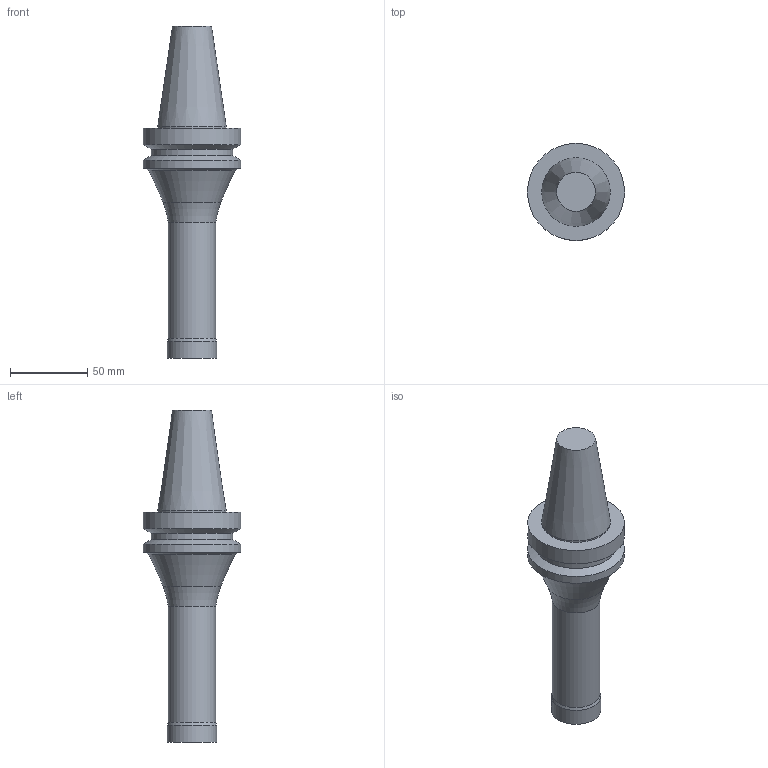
import cadquery as cq
import math

taper_length = 65.4
projection = 150.0
gauge_diameter = 44.45
taper_ratio = 7.0 / 24.0

flange_diameter = 63.0
flange_top_z = -1.0
flange_bottom_z = -27.0

groove_diameter = 53.0
groove_center_z = -16.6
groove_floor_width = 4.3
groove_flank_angle = 30.0

neck_top_diameter = 60.0
neck_shoulder_diameter = 56.4
neck_shoulder_z = -28.2
neck_waist_diameter = 37.4
neck_waist_z = -49.0
neck_bottom_z = -62.0
neck_upper_sag = 0.3
neck_lower_sag = 0.35

shank_diameter = 30.8
collar_diameter = 32.0
collar_length = 11.0
collar_chamfer_length = 1.9

taper_top_radius = (gauge_diameter - taper_ratio * taper_length) / 2
flank_height = (flange_diameter - groove_diameter) / 2 * math.tan(math.radians(groove_flank_angle))
groove_floor_top_z = groove_center_z + groove_floor_width / 2
groove_floor_bottom_z = groove_center_z - groove_floor_width / 2
collar_top_z = collar_length - projection


def hollow_midpoint(start, end, sag):
    """Middle point of an arc from start down to end that bows toward the axis by sag."""
    run_r = end[0] - start[0]
    run_z = end[1] - start[1]
    chord = math.hypot(run_r, run_z)
    middle_r = (start[0] + end[0]) / 2 + sag * run_z / chord
    middle_z = (start[1] + end[1]) / 2 - sag * run_r / chord
    return (middle_r, middle_z)


def add_taper(profile):
    """Tapered cone and the short cylinder between the gauge plane and the flange."""
    return (
        profile.lineTo(taper_top_radius, taper_length)
        .lineTo(gauge_diameter / 2, 0)
        .lineTo(gauge_diameter / 2, flange_top_z)
    )


def add_flange(profile):
    """Gripper flange with its V-flanked groove."""
    return (
        profile.lineTo(flange_diameter / 2, flange_top_z)
        .lineTo(flange_diameter / 2, groove_floor_top_z + flank_height)
        .lineTo(groove_diameter / 2, groove_floor_top_z)
        .lineTo(groove_diameter / 2, groove_floor_bottom_z)
        .lineTo(flange_diameter / 2, groove_floor_bottom_z - flank_height)
        .lineTo(flange_diameter / 2, flange_bottom_z)
    )


def add_neck(profile):
    """Short shoulder under the flange, then two hollow curves down to the shank."""
    shoulder = (neck_shoulder_diameter / 2, neck_shoulder_z)
    waist = (neck_waist_diameter / 2, neck_waist_z)
    bottom = (shank_diameter / 2, neck_bottom_z)
    return (
        profile.lineTo(neck_top_diameter / 2, flange_bottom_z)
        .lineTo(*shoulder)
        .threePointArc(hollow_midpoint(shoulder, waist, neck_upper_sag), waist)
        .threePointArc(hollow_midpoint(waist, bottom, neck_lower_sag), bottom)
    )


def add_shank(profile):
    """Straight shank ending in a slightly wider collar with a chamfered upper edge."""
    return (
        profile.lineTo(shank_diameter / 2, collar_top_z + collar_chamfer_length)
        .lineTo(collar_diameter / 2, collar_top_z)
        .lineTo(collar_diameter / 2, -projection)
        .lineTo(0, -projection)
    )


outline = cq.Workplane("XZ").moveTo(0, taper_length)
outline = add_taper(outline)
outline = add_flange(outline)
outline = add_neck(outline)
outline = add_shank(outline)

result = outline.close().revolve(360, (0, 0, 0), (0, 1, 0))